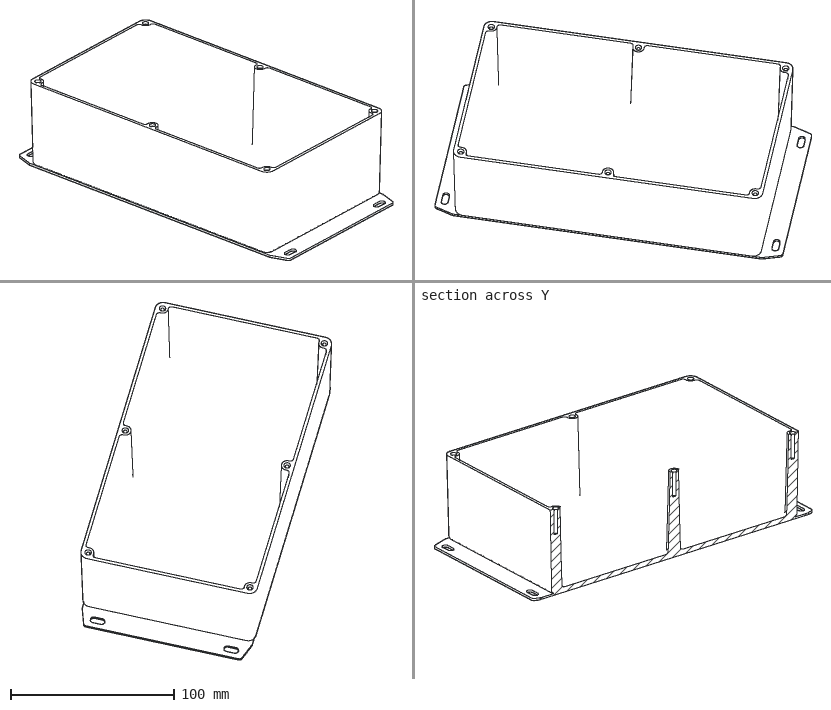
import cadquery as cq
import math

length = 216.5
height = 58.2

plate_thickness = 1.5
plate_half_width = 53.7
plate_end_half_width = 49.5
plate_corner_radius = 2.0

slot_length = 9.0
slot_width = 4.1
slot_x = 102.8
slot_y = 42.2

rim_length = 192.2
rim_width = 111.2
outer_draft = 1.0
outer_corner_radius = 5.0
base_edge_radius = 2.0

rim_wall = 2.0
inner_draft = 1.7
floor_z = 3.7
floor_fillet_radius = 1.7

boss_rim_radius = 3.5
boss_draft = 1.4
boss_inset = 4.5
boss_blend_radius = 2.0

screw_hole_radius = 1.0
screw_hole_depth = 17.3
screw_mouth_radius = 2.0
screw_mouth_depth = 1.3

cavity_depth = height - floor_z
boss_x = rim_length / 2 - boss_inset
boss_y = rim_width / 2 - boss_inset


def four_corners(x, y):
    """Points mirrored about both the X and Y axes."""
    return [(x, y), (-x, y), (-x, -y), (x, -y)]


corner_boss_points = four_corners(boss_x, boss_y)
boss_points = corner_boss_points + [(0, boss_y), (0, -boss_y)]


def make_plate():
    """Flat plate whose ends narrow beyond the box and carry four slots."""
    taper_x = rim_length / 2
    outline = [
        (taper_x, plate_half_width),
        (-taper_x, plate_half_width),
        (-length / 2, plate_end_half_width),
        (-length / 2, -plate_end_half_width),
        (-taper_x, -plate_half_width),
        (taper_x, -plate_half_width),
        (length / 2, -plate_end_half_width),
        (length / 2, plate_end_half_width),
    ]
    plate = cq.Workplane("XY").polyline(outline).close().extrude(plate_thickness)
    plate = plate.faces("<X or >X").edges("|Z").fillet(plate_corner_radius)
    slots = (
        cq.Workplane("XY")
        .pushPoints(four_corners(slot_x, slot_y))
        .slot2D(slot_length, slot_width, 90)
        .extrude(plate_thickness)
    )
    return plate.cut(slots)


def make_box_block():
    """Solid drafted block standing on the plate, with rounded corners and base edge."""
    block = (
        cq.Workplane("XY", origin=(0, 0, height))
        .rect(rim_length, rim_width)
        .extrude(plate_thickness - height, taper=outer_draft)
    )
    block = block.edges("not #Z").fillet(outer_corner_radius)
    return block.faces("<Z").edges().fillet(base_edge_radius)


def make_boss(x, y):
    """Boss post, wider at the floor than at the rim."""
    floor_radius = boss_rim_radius + cavity_depth * math.tan(math.radians(boss_draft))
    return cq.Solid.makeCone(floor_radius, boss_rim_radius, cavity_depth, pnt=cq.Vector(x, y, floor_z))


def make_corner_fillers():
    """Square posts that close the gaps between the corner bosses and the outer corners."""
    filler_x = boss_x + boss_inset / 2
    filler_y = boss_y + boss_inset / 2
    return (
        cq.Workplane("XY", origin=(0, 0, floor_z))
        .pushPoints(four_corners(filler_x, filler_y))
        .rect(boss_inset, boss_inset)
        .extrude(cavity_depth)
    )


def make_cavity():
    """Space inside the walls, leaving the six bosses standing."""
    cavity = (
        cq.Workplane("XY", origin=(0, 0, height))
        .rect(rim_length - 2 * rim_wall, rim_width - 2 * rim_wall)
        .extrude(-cavity_depth, taper=inner_draft)
    )
    cavity = cavity.cut(make_corner_fillers())
    for x, y in boss_points:
        cavity = cavity.cut(cq.Workplane(make_boss(x, y)))

    cavity = cavity.edges("not(#Z or <Z or >Z)").fillet(boss_blend_radius)
    return cavity.faces("<Z").edges().fillet(floor_fillet_radius)


def make_screw_hole(x, y):
    """Blind screw hole with a conical mouth."""
    rim_point = cq.Vector(x, y, height)
    down = cq.Vector(0, 0, -1)
    bore = cq.Solid.makeCylinder(screw_hole_radius, screw_hole_depth, rim_point, down)
    mouth = cq.Solid.makeCone(screw_mouth_radius, screw_hole_radius, screw_mouth_depth, rim_point, down)
    return cq.Workplane(bore).union(cq.Workplane(mouth))


result = make_plate().union(make_box_block()).cut(make_cavity())
for hole_x, hole_y in boss_points:
    result = result.cut(make_screw_hole(hole_x, hole_y))